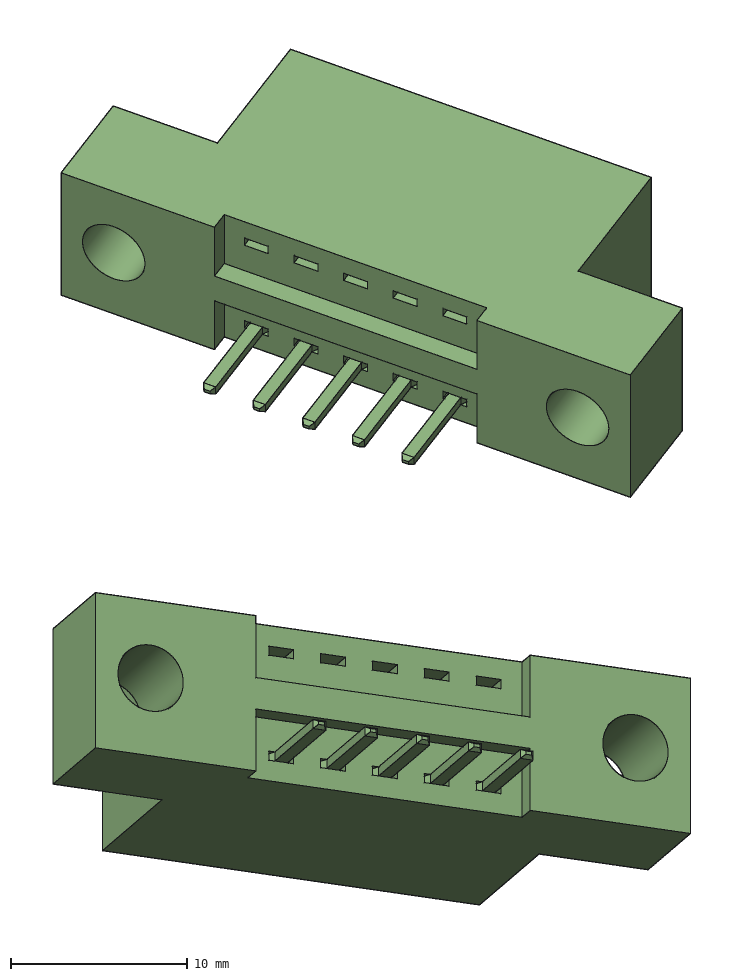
import cadquery as cq


flange_width = 36.45
flange_depth = 6.35
body_width = 23.1
housing_depth = 15.24
housing_height = 9.4

mount_hole_diameter = 4.0
mount_hole_spacing = 29.7

recess_width = 16.8
recess_depth = 1.2
web_thickness = 1.9

contact_count = 5
contact_pitch = 3.175
row_spacing = 6.35
slot_width = 1.52
slot_height = 0.55

blade_width = 1.28
pin_width = 0.78
contact_thickness = slot_height
pin_length = 4.78
shoulder_length = 0.5
tip_length = 0.3
tip_width = 0.36
tip_thickness = 0.2

row_offset = row_spacing / 2
first_contact_x = -contact_pitch * (contact_count - 1) / 2
contact_positions = [first_contact_x + i * contact_pitch for i in range(contact_count)]


def block(width, height, y_start, y_end, x=0, z=0):
    """Box centred on (x, z), running from y_start to y_end."""
    depth = y_end - y_start
    return cq.Workplane("XY").box(width, depth, height).translate((x, y_start + depth / 2, z))


def make_housing():
    flange = block(flange_width, housing_height, 0, flange_depth)
    body = block(body_width, housing_height, 0, housing_depth)
    return cut_slots(cut_recesses(cut_mount_holes(flange.union(body))))


def cut_mount_holes(housing):
    holes = (
        cq.Workplane("XZ")
        .pushPoints([(-mount_hole_spacing / 2, 0), (mount_hole_spacing / 2, 0)])
        .circle(mount_hole_diameter / 2)
        .extrude(-flange_depth)
    )
    return housing.cut(holes)


def cut_recesses(housing):
    recess_height = (housing_height - web_thickness) / 2
    recess_z = (housing_height - recess_height) / 2
    for z in (-recess_z, recess_z):
        housing = housing.cut(block(recess_width, recess_height, 0, recess_depth, z=z))
    return housing


def cut_slots(housing):
    for z in (-row_offset, row_offset):
        for x in contact_positions:
            housing = housing.cut(block(slot_width, slot_height, recess_depth, housing_depth, x, z))
    return housing


def make_contact(x):
    """Flat blade filling the slot height, narrowing at a sloped shoulder to a pin with a tapered tip."""
    shoulder_end = recess_depth + shoulder_length
    tip_start = tip_length - pin_length
    half_outline = [
        (pin_width / 2, tip_start),
        (pin_width / 2, recess_depth),
        (blade_width / 2, shoulder_end),
        (blade_width / 2, housing_depth),
    ]
    mirrored_outline = [(-px, py) for px, py in reversed(half_outline)]
    shank = (
        cq.Workplane("XY")
        .polyline(half_outline + mirrored_outline)
        .close()
        .extrude(contact_thickness / 2, both=True)
    )
    tip = (
        cq.Workplane("XZ", origin=(0, tip_start, 0))
        .rect(pin_width, contact_thickness)
        .workplane(offset=tip_length)
        .rect(tip_width, tip_thickness)
        .loft(ruled=True)
    )
    return shank.union(tip).translate((x, 0, -row_offset))


housing = make_housing()
contacts = [make_contact(x) for x in contact_positions]

result = cq.Compound.makeCompound([housing.solids().val(), *[contact.solids().val() for contact in contacts]])